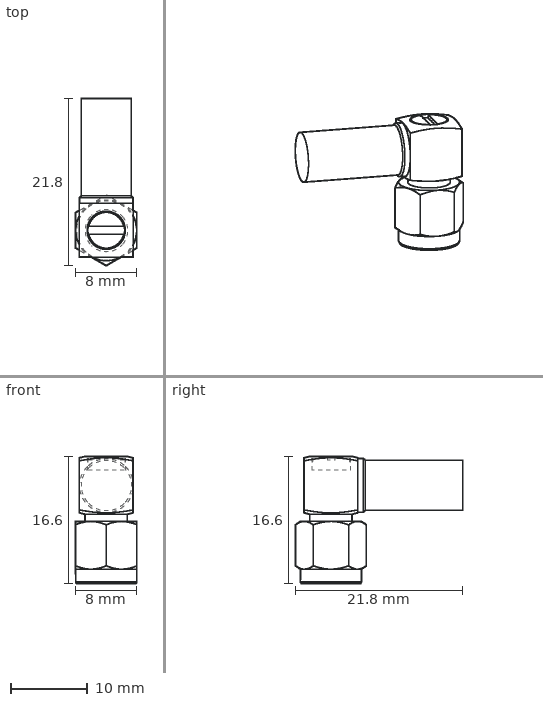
import cadquery as cq
import math

OVERALL_LENGTH = 21.82
OVERALL_HEIGHT = 16.6

NUT_ACROSS_FLATS = 8.0
NUT_FLAT_RADIUS = NUT_ACROSS_FLATS / 2
NUT_CORNER_RADIUS = NUT_FLAT_RADIUS / math.cos(math.radians(30))
NUT_RING_HEIGHT = 1.9
NUT_TOP = 8.14
NUT_TOP_FACE_RADIUS = 3.97
NUT_BEVEL_ANGLE = 35.0
RING_CHAMFER_HEIGHT = 0.26
RING_CHAMFER_WIDTH = 0.13

BLOCK_WIDTH = 7.03
BLOCK_BOTTOM = 9.03
BLOCK_HEIGHT = OVERALL_HEIGHT - BLOCK_BOTTOM
BLOCK_BEVEL_ANGLE = 15.0
NECK_RADIUS = 2.77
COLLAR_RADIUS = BLOCK_WIDTH / 2
COLLAR_LENGTH = 0.95
TUBE_RADIUS = 3.27
TUBE_CENTER_Z = BLOCK_BOTTOM + BLOCK_HEIGHT / 2
TUBE_END_Y = OVERALL_LENGTH - NUT_CORNER_RADIUS

SCREW_RADIUS = 2.49
SCREW_HEIGHT = 1.75
SCREW_CHAMFER_WIDTH = 0.15
SCREW_CHAMFER_HEIGHT = 1.1
SLOT_WIDTH = 1.0
SLOT_DEPTH = 0.44


def bevelled_envelope(bottom, top, bottom_radius, top_radius, outer_radius, angle):
    """Round solid with a cone at each end, for bevelling the ends of a prism."""
    slope = math.tan(math.radians(angle))
    bottom_drop = (outer_radius - bottom_radius) * slope
    top_drop = (outer_radius - top_radius) * slope
    profile = (
        cq.Workplane("XZ")
        .moveTo(0, bottom)
        .lineTo(bottom_radius, bottom)
        .lineTo(outer_radius, bottom + bottom_drop)
        .lineTo(outer_radius, top - top_drop)
        .lineTo(top_radius, top)
        .lineTo(0, top)
        .close()
    )
    return profile.revolve(360, (0, 0, 0), (0, 1, 0))


def make_nut():
    """Hexagon with corners on the Y axis, above a round ring."""
    envelope = bevelled_envelope(
        NUT_RING_HEIGHT, NUT_TOP, NUT_FLAT_RADIUS, NUT_TOP_FACE_RADIUS,
        NUT_CORNER_RADIUS, NUT_BEVEL_ANGLE,
    )
    hexagon = (
        cq.Workplane("XY", origin=(0, 0, NUT_RING_HEIGHT))
        .transformed(rotate=(0, 0, 90))
        .polygon(6, 2 * NUT_CORNER_RADIUS)
        .extrude(NUT_TOP - NUT_RING_HEIGHT)
        .intersect(envelope)
    )
    ring = (
        cq.Workplane("XY")
        .circle(NUT_FLAT_RADIUS)
        .extrude(NUT_RING_HEIGHT)
        .faces("<Z")
        .chamfer(RING_CHAMFER_HEIGHT, RING_CHAMFER_WIDTH)
    )
    return hexagon.union(ring)


def make_block():
    """Square block with a shallow cone on its top and bottom."""
    envelope = bevelled_envelope(
        BLOCK_BOTTOM, OVERALL_HEIGHT, NECK_RADIUS, NECK_RADIUS,
        BLOCK_WIDTH / math.sqrt(2), BLOCK_BEVEL_ANGLE,
    )
    return (
        cq.Workplane("XY", origin=(0, 0, BLOCK_BOTTOM))
        .rect(BLOCK_WIDTH, BLOCK_WIDTH)
        .extrude(BLOCK_HEIGHT)
        .intersect(envelope)
    )


def make_tube():
    """Cable tube along +Y, with a chamfered collar against the block."""
    collar_end = BLOCK_WIDTH / 2 + COLLAR_LENGTH
    chamfer = COLLAR_RADIUS - TUBE_RADIUS
    return (
        cq.Workplane("XY")
        .moveTo(0, 0)
        .lineTo(COLLAR_RADIUS, 0)
        .lineTo(COLLAR_RADIUS, collar_end - chamfer)
        .lineTo(TUBE_RADIUS, collar_end)
        .lineTo(TUBE_RADIUS, TUBE_END_Y)
        .lineTo(0, TUBE_END_Y)
        .close()
        .revolve(360, (0, 0, 0), (0, 1, 0))
        .translate((0, 0, TUBE_CENTER_Z))
    )


def make_elbow():
    """Block, tube and neck in one piece, with the screw's recess on top."""
    neck = (
        cq.Workplane("XY", origin=(0, 0, NUT_TOP))
        .circle(NECK_RADIUS)
        .extrude(BLOCK_BOTTOM - NUT_TOP)
    )
    recess = (
        cq.Workplane("XY", origin=(0, 0, OVERALL_HEIGHT - SCREW_HEIGHT))
        .circle(SCREW_RADIUS)
        .extrude(SCREW_HEIGHT)
    )
    return make_block().union(make_tube()).union(neck).cut(recess)


def make_screw():
    """Disc with a chamfered rim and a slot along X."""
    slot = (
        cq.Workplane("XY", origin=(0, 0, OVERALL_HEIGHT - SLOT_DEPTH))
        .rect(2 * SCREW_RADIUS, SLOT_WIDTH)
        .extrude(SLOT_DEPTH)
    )
    return (
        cq.Workplane("XY", origin=(0, 0, OVERALL_HEIGHT - SCREW_HEIGHT))
        .circle(SCREW_RADIUS)
        .extrude(SCREW_HEIGHT)
        .faces(">Z")
        .chamfer(SCREW_CHAMFER_HEIGHT, SCREW_CHAMFER_WIDTH)
        .cut(slot)
    )


nut = make_nut()
elbow = make_elbow()
screw = make_screw()

result = cq.Compound.makeCompound([nut.val(), elbow.val(), screw.val()])